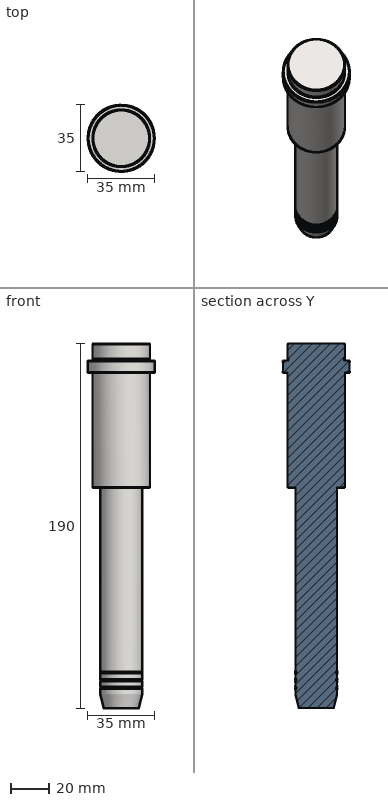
import cadquery as cq
import math

length = 190.0
collar_top = length - 9.0
collar_bottom = length - 15.4
sleeve_bottom = length - 75.2
taper_height = 7.5

sleeve_radius = 15.0
collar_radius = 17.5
pin_radius = 11.0

edge_chamfer = 0.5
taper_angle = 14.0
tip_radius = pin_radius - taper_height * math.tan(math.radians(taper_angle))
tip_fillet = 0.4

relief_width = 1.1
relief_depth = 0.5

groove_count = 3
groove_pitch = 4.0
groove_width = 1.1
groove_depth = 0.5
lowest_groove_height = 10.6


def cylinder(radius, bottom, top):
    """Solid cylinder on the Z axis between two heights."""
    return cq.Workplane("XY").workplane(offset=bottom).circle(radius).extrude(top - bottom)


def groove_cutter(radius, depth, middle, width):
    """Ring of diamond section that cuts a V-groove into a cylinder of the given radius."""
    return (
        cq.Workplane("XZ")
        .polyline([
            (radius, middle - width / 2),
            (radius - depth, middle),
            (radius, middle + width / 2),
            (radius + depth, middle),
        ])
        .close()
        .revolve(360, (0, 0, 0), (0, 1, 0))
    )


tip = (
    cq.Workplane("XZ")
    .polyline([(0, 0), (tip_radius, 0), (pin_radius, taper_height), (0, taper_height)])
    .close()
    .revolve(360, (0, 0, 0), (0, 1, 0))
    .faces("<Z").edges().fillet(tip_fillet)
)
pin = cylinder(pin_radius, taper_height, sleeve_bottom).union(tip)
for index in range(groove_count):
    groove_middle = lowest_groove_height + index * groove_pitch
    pin = pin.cut(groove_cutter(pin_radius, groove_depth, groove_middle, groove_width))

sleeve = cylinder(sleeve_radius, sleeve_bottom, length).faces("|Z").edges().chamfer(edge_chamfer)
sleeve = sleeve.cut(groove_cutter(sleeve_radius, relief_depth, collar_top + relief_width / 2, relief_width))
collar = cylinder(collar_radius, collar_bottom, collar_top).faces("|Z").edges().chamfer(edge_chamfer)

result = sleeve.union(collar).union(pin)